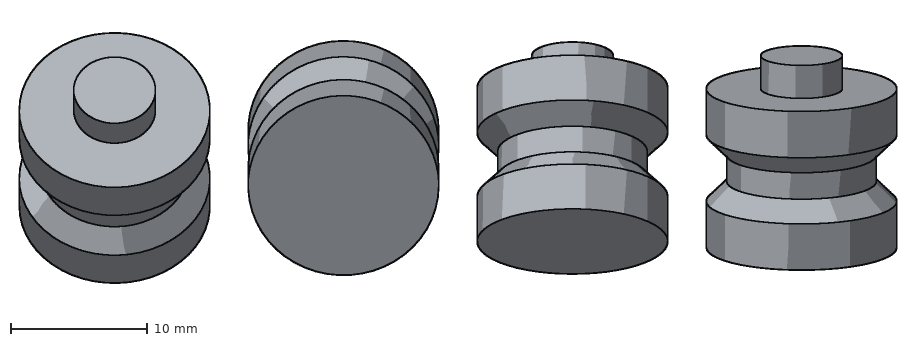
import cadquery as cq

total_height = 14.5
body_diameter = 14.0
neck_diameter = 11.0
neck_length = 2.0
pin_diameter = 6.0
pin_height = 2.5

body_radius = body_diameter / 2
neck_radius = neck_diameter / 2
pin_radius = pin_diameter / 2
body_height = total_height - pin_height
taper_height = body_radius - neck_radius
flange_height = (body_height - neck_length) / 2 - taper_height

neck_bottom = flange_height + taper_height
neck_top = neck_bottom + neck_length
upper_flange_bottom = neck_top + taper_height

profile = (
    cq.Workplane("XZ")
    .lineTo(-body_radius, 0)
    .lineTo(-body_radius, flange_height)
    .lineTo(-neck_radius, neck_bottom)
    .lineTo(-neck_radius, neck_top)
    .lineTo(-body_radius, upper_flange_bottom)
    .lineTo(-body_radius, body_height)
    .lineTo(-pin_radius, body_height)
    .lineTo(-pin_radius, total_height)
    .lineTo(0, total_height)
    .close()
)

result = profile.revolve(360, (0, 0), (0, -1))